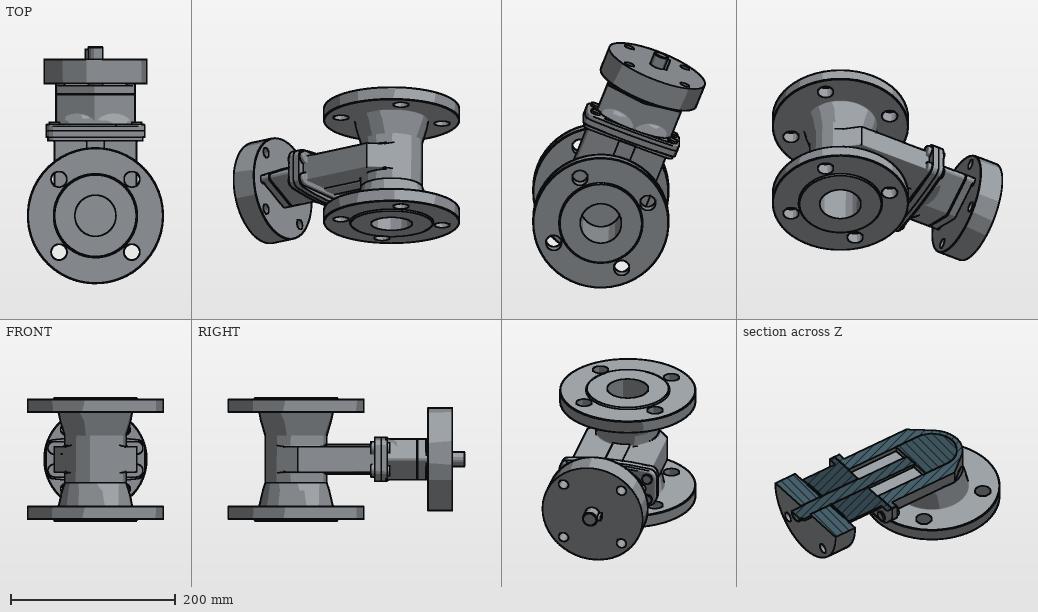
import cadquery as cq
import math


face_to_face = 150.0
bore_radius = 25.0
barrel_radius = 37.5
barrel_half_height = 28.8
flange_radius = 82.5
flange_thickness = 16.0
flange_chamfer = 0.8
raised_face_radius = 51.0
raised_face_height = 2.0
raised_face_chamfer = 1.5
flange_hole_circle_radius = 62.5
flange_hole_diameter = 19.0
neck_end_radius = 44.8
neck_bulge = 0.7
neck_fillet = 1.0
half_length = face_to_face / 2
flange_outer_z = half_length - raised_face_height
flange_inner_z = flange_outer_z - flange_thickness

chamber_half_width = 50.0
chamber_half_height = 15.5
chamber_edge_fillet = 1.0
taper_start_y = 2.2
taper_end_x = 28.9
rib_half_width = 10.5
rib_half_height = 18.0
rib_edge_fillet = 1.0
barrel_fillet = 1.5
collar_fillet = 1.0

collar_bottom_y = 90.8
joint_bottom_y = 95.5
joint_y = 103.5
joint_top_y = 111.0
corner_x = 50.0
corner_z = 13.8
joint_corner_radius = 10.0
joint_half_height = 27.0
joint_top_fillet = 2.2
lug_radius = 7.75
lug_fillet = 1.0
boss_radius = 6.0
boss_top_y = 113.6

post_radius = 10.62 / 2
post_x = 42.8
ridge_z = 19.6
column_top_y = 158.1
groove_y = 147.4
groove_width = 1.4
groove_depth = 0.4
dome_center_y = 109.0
dome_half_width = 45.0
dome_half_height = 25.5
dome_rise = 23.0
dome_fillet = 1.5

disc_radius = 62.5
disc_bottom_y = 160.0
disc_top_y = 190.0
disc_chamfer = 0.6
disc_hole_circle_radius = 51.0
disc_hole_diameter = 12.0

stem_radius = 9.0
stem_top_y = 205.0
stem_chamfer = 1.0
key_width = 6.0
key_outer_x = 12.3
key_end_y = 202.0

gate_radius = 30.0
gate_thickness = 12.0
gate_top_y = 32.0


def section(y):
    """Sketch plane across the stem axis whose extrusions run towards -Y."""
    return cq.Workplane("XZ", origin=(0, y, 0))


def stem_cylinder(radius, y_low, y_high):
    return section(y_high).circle(radius).extrude(y_high - y_low)


def box_between(half_x, half_z, y_low, y_high):
    return section(y_high).rect(2 * half_x, 2 * half_z).extrude(y_high - y_low)


def corner_cylinders(radius, y_low, y_high):
    plane = section(y_high).rect(2 * corner_x, 2 * corner_z, forConstruction=True)
    return plane.vertices().circle(radius).extrude(y_high - y_low)


def square_holes(plane, circle_radius, diameter, depth):
    side = circle_radius * math.sqrt(2)
    return plane.rect(side, side, forConstruction=True).vertices().circle(diameter / 2).extrude(depth)


def joint_plate(y_low, y_high):
    """Oblong plate with rounded corners and long sides that bow gently outwards."""
    drop = joint_half_height - corner_z
    r = joint_corner_radius
    bow_radius = (corner_x**2 + drop**2 - r**2) / (2 * (drop - r))
    tilt = math.asin(corner_x / (bow_radius - r))
    end_x = corner_x + r * math.sin(tilt)
    end_z = corner_z + r * math.cos(tilt)
    mid_angle = (math.pi / 2 - tilt) / 2
    mid_x = corner_x + r * math.cos(mid_angle)
    mid_z = corner_z + r * math.sin(mid_angle)
    side_x = corner_x + r
    outline = (
        section(y_high)
        .moveTo(-end_x, end_z)
        .threePointArc((0, joint_half_height), (end_x, end_z))
        .threePointArc((mid_x, mid_z), (side_x, corner_z))
        .lineTo(side_x, -corner_z)
        .threePointArc((mid_x, -mid_z), (end_x, -end_z))
        .threePointArc((0, -joint_half_height), (-end_x, -end_z))
        .threePointArc((-mid_x, -mid_z), (-side_x, -corner_z))
        .lineTo(-side_x, corner_z)
        .threePointArc((-mid_x, mid_z), (-end_x, end_z))
        .close()
    )
    return outline.extrude(y_high - y_low)


def gate_blank(top_y):
    """Flat plate with a half-round lower end."""
    plane = cq.Workplane("XY", origin=(0, 0, -gate_thickness / 2))
    outline = (
        plane.moveTo(-gate_radius, top_y)
        .lineTo(-gate_radius, 0)
        .threePointArc((0, -gate_radius), (gate_radius, 0))
        .lineTo(gate_radius, top_y)
        .close()
    )
    return outline.extrude(gate_thickness)


def pipe_run():
    """Solid of revolution: barrel, two flared necks and two flanges with raised faces."""
    mid_r = (barrel_radius + neck_end_radius) / 2 + neck_bulge
    mid_z = (barrel_half_height + flange_inner_z) / 2
    rim_r = flange_radius - flange_chamfer
    raised_face_top_radius = raised_face_radius - raised_face_chamfer
    run = (
        cq.Workplane("XZ")
        .moveTo(0, -half_length)
        .lineTo(raised_face_top_radius, -half_length)
        .lineTo(raised_face_radius, -flange_outer_z)
        .lineTo(rim_r, -flange_outer_z)
        .lineTo(flange_radius, -flange_outer_z + flange_chamfer)
        .lineTo(flange_radius, -flange_inner_z - flange_chamfer)
        .lineTo(rim_r, -flange_inner_z)
        .lineTo(neck_end_radius, -flange_inner_z)
        .threePointArc((mid_r, -mid_z), (barrel_radius, -barrel_half_height))
        .lineTo(barrel_radius, barrel_half_height)
        .threePointArc((mid_r, mid_z), (neck_end_radius, flange_inner_z))
        .lineTo(rim_r, flange_inner_z)
        .lineTo(flange_radius, flange_inner_z + flange_chamfer)
        .lineTo(flange_radius, flange_outer_z - flange_chamfer)
        .lineTo(rim_r, flange_outer_z)
        .lineTo(raised_face_radius, flange_outer_z)
        .lineTo(raised_face_top_radius, half_length)
        .lineTo(0, half_length)
        .close()
        .revolve(360, (0, 0, 0), (0, 1, 0))
    )
    return run.edges(cq.selectors.RadiusNthSelector(1)).fillet(neck_fillet)


def chamber_slab(half_height):
    """Outline of the gate chamber, tapering onto the barrel at its lower end."""
    taper_end_y = -math.sqrt(barrel_radius**2 - taper_end_x**2)
    outline = (
        cq.Workplane("XY", origin=(0, 0, -half_height))
        .moveTo(-chamber_half_width, collar_bottom_y)
        .lineTo(-chamber_half_width, taper_start_y)
        .lineTo(-taper_end_x, taper_end_y)
        .lineTo(taper_end_x, taper_end_y)
        .lineTo(chamber_half_width, taper_start_y)
        .lineTo(chamber_half_width, collar_bottom_y)
        .close()
    )
    return outline.extrude(2 * half_height)


def barrel_fillet_ring():
    """Concave ring that blends the flat chamber faces into the barrel."""
    foot_z = chamber_half_height
    top_z = foot_z + barrel_fillet
    outer_r = barrel_radius + barrel_fillet
    sag = barrel_fillet * (1 - math.sqrt(0.5))
    ring = (
        cq.Workplane("XZ")
        .moveTo(barrel_radius, -top_z)
        .threePointArc((barrel_radius + sag, -foot_z - sag), (outer_r, -foot_z))
        .lineTo(outer_r, foot_z)
        .threePointArc((barrel_radius + sag, foot_z + sag), (barrel_radius, top_z))
        .close()
        .revolve(360, (0, 0, 0), (0, 1, 0))
    )
    return ring.intersect(chamber_slab(top_z))


def gate_chamber():
    chamber = chamber_slab(chamber_half_height)
    chamber = chamber.faces("<Z or >Z").edges("not #Y").fillet(chamber_edge_fillet)
    rib = box_between(rib_half_width, rib_half_height, 0, collar_bottom_y)
    rib = rib.edges("|Y").fillet(rib_edge_fillet)
    return chamber.union(rib)


def joint_collar():
    collar = box_between(chamber_half_width, corner_z + lug_radius, collar_bottom_y, joint_bottom_y)
    collar = collar.faces("<Y").edges("|X").fillet(lug_fillet)
    lugs = corner_cylinders(lug_radius, collar_bottom_y, joint_bottom_y)
    lugs = lugs.faces("<Y").edges().fillet(lug_fillet)
    return collar.union(lugs)


def build_housing():
    neck = gate_chamber().union(joint_collar())
    margin = 0.1
    foot = cq.selectors.BoxSelector(
        (-chamber_half_width - margin, collar_bottom_y - margin, -rib_half_height - margin),
        (chamber_half_width + margin, collar_bottom_y + margin, rib_half_height + margin),
        boundingbox=True,
    )
    neck = neck.edges(foot).fillet(collar_fillet)
    body = pipe_run().union(barrel_fillet_ring()).union(neck)
    body = body.union(joint_plate(joint_bottom_y, joint_y))
    lower_end = cq.Workplane("XY", origin=(0, 0, -half_length))
    bore = lower_end.circle(bore_radius).extrude(face_to_face)
    hole_depth = half_length - flange_inner_z
    holes = square_holes(lower_end, flange_hole_circle_radius, flange_hole_diameter, hole_depth)
    body = body.cut(bore).cut(holes).cut(holes.mirror("XY"))
    return body.cut(gate_blank(joint_y)).cut(stem_cylinder(stem_radius, gate_top_y, joint_y))


def column_profile(plane, inset=0):
    """Rhombus hull around two end posts and two ridges, moved inwards by the inset."""
    radius = post_radius - inset
    slope = math.atan2(ridge_z, post_x)
    dx = radius * math.sin(slope)
    dz = radius * math.cos(slope)
    return (
        plane.moveTo(-post_x - dx, dz)
        .lineTo(-dx, ridge_z + dz)
        .threePointArc((0, ridge_z + radius), (dx, ridge_z + dz))
        .lineTo(post_x + dx, dz)
        .threePointArc((post_x + radius, 0), (post_x + dx, -dz))
        .lineTo(dx, -ridge_z - dz)
        .threePointArc((0, -ridge_z - radius), (-dx, -ridge_z - dz))
        .lineTo(-post_x - dx, -dz)
        .threePointArc((-post_x - radius, 0), (-post_x - dx, dz))
        .close()
    )


def column():
    """Rhombus column with a shallow groove around it."""
    shaft = column_profile(section(column_top_y)).extrude(column_top_y - joint_y)
    groove_top = section(groove_y + groove_width / 2)
    band = column_profile(groove_top).extrude(groove_width)
    core = column_profile(groove_top, groove_depth).extrude(groove_width)
    return shaft.cut(band.cut(core))


def dome():
    """Upper half of an ellipsoid."""
    hemisphere = cq.Workplane("XY").sphere(1, direct=(0, 1, 0), angle1=0).val()
    stretch = cq.Matrix([
        [dome_half_width, 0, 0, 0],
        [0, dome_rise, 0, dome_center_y],
        [0, 0, dome_half_height, 0],
    ])
    return cq.Workplane(hemisphere.transformGeometry(stretch))


def build_bonnet():
    plate = joint_plate(joint_y, joint_top_y).faces(">Y").edges().fillet(joint_top_fillet)
    bonnet = plate.union(corner_cylinders(boss_radius, joint_y, boss_top_y))
    bonnet = bonnet.union(column()).union(dome())
    dome_seam = cq.selectors.BoxSelector(
        (-dome_half_width, boss_top_y, -dome_half_height),
        (dome_half_width, dome_center_y + dome_rise / 2, dome_half_height),
    )
    bonnet = bonnet.edges(dome_seam).edges("not |Y").fillet(dome_fillet)
    bonnet = bonnet.cut(stem_cylinder(stem_radius, joint_y, column_top_y))
    posts = section(disc_bottom_y).pushPoints([(-post_x, 0), (post_x, 0)])
    posts = posts.circle(post_radius).extrude(disc_bottom_y - column_top_y)
    return bonnet.union(posts, clean=False)


def build_disc():
    disc = stem_cylinder(disc_radius, disc_bottom_y, disc_top_y).faces("<Y").chamfer(disc_chamfer)
    holes = square_holes(
        section(disc_top_y), disc_hole_circle_radius, disc_hole_diameter, disc_top_y - disc_bottom_y
    )
    return disc.cut(holes).cut(stem_cylinder(stem_radius, disc_bottom_y, disc_top_y))


def build_stem():
    stem = stem_cylinder(stem_radius, gate_top_y, stem_top_y).faces(">Y").chamfer(stem_chamfer)
    round_end_y = key_end_y - key_width / 2
    key = (
        cq.Workplane("YZ", origin=(-key_outer_x, 0, 0))
        .moveTo(disc_top_y, -key_width / 2)
        .lineTo(round_end_y, -key_width / 2)
        .threePointArc((key_end_y, 0), (round_end_y, key_width / 2))
        .lineTo(disc_top_y, key_width / 2)
        .close()
        .extrude(key_outer_x)
    )
    return stem.union(key)


housing = build_housing()
gate = gate_blank(gate_top_y)
bonnet = build_bonnet()
disc = build_disc()
stem = build_stem()

bodies = [housing, gate, bonnet, disc, stem]
result = cq.Compound.makeCompound([body.solids().val() for body in bodies])